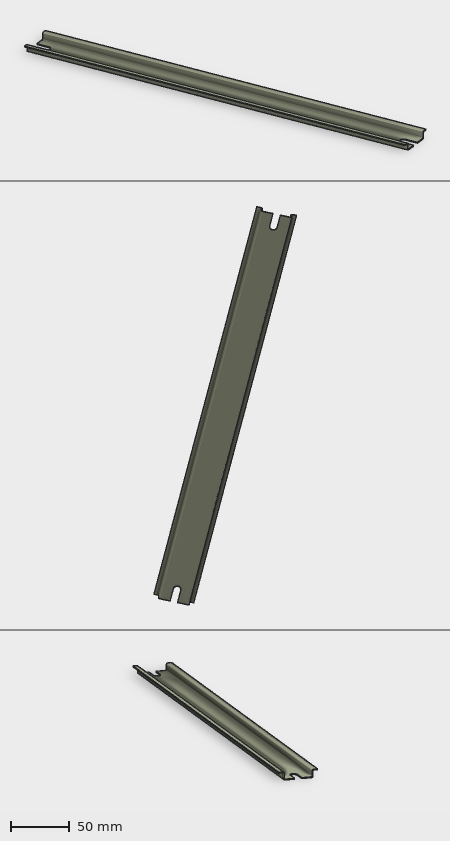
import cadquery as cq

length = 375.0
width = 35.0
height = 7.5
thickness = 1.0
channel_width = 27.0
inner_radius = 0.8
outer_radius = inner_radius + thickness

slot_width = 6.5
slot_length = 15.0


def make_rail():
    """Hat section: a channel with a flange turned outward at each side."""
    half_channel = channel_width / 2
    half_inside = half_channel - thickness
    flange_bottom = height - thickness
    points = [
        (-half_channel, 0),
        (half_channel, 0),
        (half_channel, flange_bottom),
        (width / 2, flange_bottom),
        (width / 2, height),
        (half_inside, height),
        (half_inside, thickness),
        (-half_inside, thickness),
        (-half_inside, height),
        (-width / 2, height),
        (-width / 2, flange_bottom),
        (-half_channel, flange_bottom),
    ]
    return cq.Workplane("YZ").polyline(points).close().extrude(length / 2, both=True)


def fillet_edge(rail, y, z, radius):
    """Round the lengthwise edge that passes through (y, z)."""
    nearest = cq.selectors.NearestToPointSelector((0, y, z))
    return rail.edges(nearest).fillet(radius)


def round_bends(rail):
    """Round both faces of the four bends, keeping the sheet thickness constant."""
    half_channel = channel_width / 2
    half_inside = half_channel - thickness
    for side in (-1, 1):
        rail = fillet_edge(rail, side * half_inside, thickness, inner_radius)
        rail = fillet_edge(rail, side * half_channel, 0, outer_radius)
        rail = fillet_edge(rail, side * half_channel, height - thickness, inner_radius)
        rail = fillet_edge(rail, side * half_inside, height, outer_radius)
    return rail


def make_slot(end):
    """Cutter for a round-tipped slot open at the rail end (end is -1 or 1)."""
    tip_center = end * (length / 2 - slot_length + slot_width / 2)
    rail_end = end * length / 2
    half_slot = slot_width / 2
    return (
        cq.Workplane("XY")
        .moveTo(rail_end, half_slot)
        .lineTo(tip_center, half_slot)
        .threePointArc((tip_center - end * half_slot, 0), (tip_center, -half_slot))
        .lineTo(rail_end, -half_slot)
        .close()
        .extrude(height)
    )


result = round_bends(make_rail())
for end in (-1, 1):
    result = result.cut(make_slot(end))